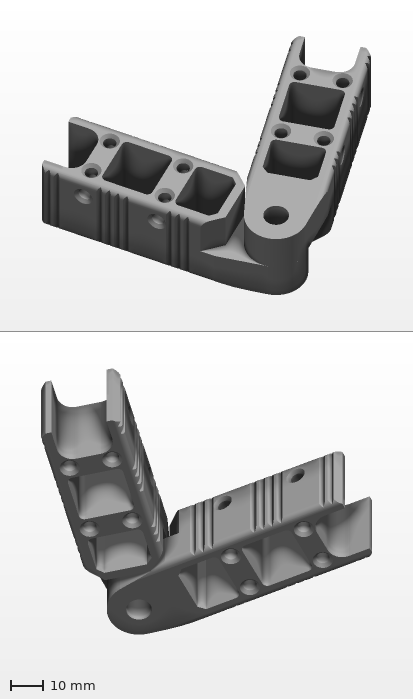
import cadquery as cq
import math


OVERALL_DEPTH = 88.6
ARM_WIDTH = 25.7
EDGE_RADIUS = 2.1
OPENING_ANGLE = 78.8

KNUCKLE_RADIUS = 10.0
PIVOT_DIAMETER = 8.0
TAPER_START = 15.1
SHOULDER = 13.9
SHOULDER_CHAMFER_LENGTH = 6.0
SHOULDER_CHAMFER_WIDTH = 5.6

WALL = 4.0
SLOT_DEPTH = 12.0
SLOT_CORNER_RADIUS = 5.0
LONG_WINDOW = (39.0, 56.0)
SHORT_WINDOW = (16.8, 31.0)
WINDOW_CORNER_RADIUS = 1.8
SHORT_WINDOW_CHAMFER = 2.0

HOLE_DIAMETER = 4.2
COUNTERSINK_DIAMETER = 6.3
HOLE_OFFSET = 6.8
HOLE_PLACES = (34.9, 59.95)

GROOVE_DEPTH = 1.1
GROOVE_PITCH = 3.0
GROOVE_GROUPS = ((3.0, 2), (20.6, 4), (44.4, 3))

HALF_WIDTH = ARM_WIDTH / 2
HALF_HEIGHT = ARM_WIDTH / 2
OPENING_WIDTH = ARM_WIDTH - 2 * WALL
TIP_HALF_WIDTH = HALF_WIDTH - EDGE_RADIUS
OPENING_RADIANS = math.radians(OPENING_ANGLE)
TIP_REACH = OVERALL_DEPTH - HALF_WIDTH
ARM_LENGTH = (TIP_REACH - TIP_HALF_WIDTH * math.cos(OPENING_RADIANS)) / math.sin(OPENING_RADIANS)
COUNTERSINK_DEPTH = (COUNTERSINK_DIAMETER - HOLE_DIAMETER) / 2


def upright_prism(outline):
    """Extrude a closed XY outline over the whole arm height."""
    return outline.extrude(ARM_WIDTH).translate((0, 0, -HALF_HEIGHT))


def plan_prism():
    """Arm seen from above: bevelled open end, straight sides, sides tangent to the round knuckle."""
    corner_distance = math.hypot(TAPER_START, HALF_WIDTH)
    tangent_angle = math.atan2(HALF_WIDTH, -TAPER_START) - math.acos(KNUCKLE_RADIUS / corner_distance)
    tangent_x = KNUCKLE_RADIUS * math.cos(tangent_angle)
    tangent_y = KNUCKLE_RADIUS * math.sin(tangent_angle)
    bevel_x = -ARM_LENGTH + EDGE_RADIUS
    outline = (
        cq.Workplane("XY")
        .moveTo(-ARM_LENGTH, -TIP_HALF_WIDTH)
        .lineTo(bevel_x, -HALF_WIDTH)
        .lineTo(-TAPER_START, -HALF_WIDTH)
        .lineTo(tangent_x, -tangent_y)
        .threePointArc((KNUCKLE_RADIUS, 0), (tangent_x, tangent_y))
        .lineTo(-TAPER_START, HALF_WIDTH)
        .lineTo(bevel_x, HALF_WIDTH)
        .lineTo(-ARM_LENGTH, TIP_HALF_WIDTH)
        .close()
    )
    return upright_prism(outline)


def rounded_bar():
    """Square bar with rounded long edges, long enough to hold the whole arm."""
    bar_length = ARM_LENGTH + KNUCKLE_RADIUS
    bar = cq.Workplane("XY").box(bar_length, ARM_WIDTH, ARM_WIDTH).edges("|X").fillet(EDGE_RADIUS)
    return bar.translate((KNUCKLE_RADIUS - bar_length / 2, 0, 0))


def knuckle_relief(side):
    """Space for the other arm's knuckle, on the upper (side = 1) or lower (side = -1) half."""
    chamfer_x = -SHOULDER - SHOULDER_CHAMFER_LENGTH
    chamfer_y = HALF_WIDTH - SHOULDER_CHAMFER_WIDTH
    return (
        cq.Workplane("XY")
        .moveTo(-SHOULDER, -chamfer_y)
        .lineTo(chamfer_x, -HALF_WIDTH)
        .lineTo(KNUCKLE_RADIUS, -HALF_WIDTH)
        .lineTo(KNUCKLE_RADIUS, HALF_WIDTH)
        .lineTo(chamfer_x, HALF_WIDTH)
        .lineTo(-SHOULDER, chamfer_y)
        .close()
        .extrude(side * HALF_HEIGHT)
    )


def opening(near, far):
    """Rectangular block through the height between two distances from the pivot."""
    block = cq.Workplane("XY").box(far - near, OPENING_WIDTH, ARM_WIDTH)
    return block.translate((-(near + far) / 2, 0, 0))


def end_slot():
    """Slot open at the free end, with rounded inner corners."""
    block = opening(ARM_LENGTH - SLOT_DEPTH, ARM_LENGTH)
    return block.edges("|Z and >X").fillet(SLOT_CORNER_RADIUS)


def long_window():
    return opening(*LONG_WINDOW).edges("|Z").fillet(WINDOW_CORNER_RADIUS)


def short_window():
    """Window with rounded far corners and bevelled corners towards the pivot."""
    block = opening(*SHORT_WINDOW).edges("|Z and <X").fillet(WINDOW_CORNER_RADIUS)
    return block.edges("|Z and >X").chamfer(SHORT_WINDOW_CHAMFER)


def screw_hole():
    """Vertical through hole on the Z axis, countersunk at both ends."""
    bore_radius = HOLE_DIAMETER / 2
    sink_radius = COUNTERSINK_DIAMETER / 2
    sink_start = HALF_HEIGHT - COUNTERSINK_DEPTH
    return (
        cq.Workplane("XZ")
        .moveTo(0, -HALF_HEIGHT)
        .lineTo(sink_radius, -HALF_HEIGHT)
        .lineTo(bore_radius, -sink_start)
        .lineTo(bore_radius, sink_start)
        .lineTo(sink_radius, HALF_HEIGHT)
        .lineTo(0, HALF_HEIGHT)
        .close()
        .revolve(360, (0, 0, 0), (0, 1, 0))
    )


def side_groove(distance, side):
    """Full-height V groove in one side face, at a distance from the pivot."""
    outline = (
        cq.Workplane("XY")
        .moveTo(-distance - GROOVE_DEPTH, side * HALF_WIDTH)
        .lineTo(-distance, side * (HALF_WIDTH - GROOVE_DEPTH))
        .lineTo(-distance + GROOVE_DEPTH, side * HALF_WIDTH)
        .close()
    )
    return upright_prism(outline)


def cut_screw_holes(body):
    """Two upright holes and one crosswise hole in each cross bar."""
    upright = screw_hole()
    crosswise = upright.rotate((0, 0, 0), (1, 0, 0), 90)
    for distance in HOLE_PLACES:
        for side in (-1, 1):
            body = body.cut(upright.translate((-distance, side * HOLE_OFFSET, 0)))
        body = body.cut(crosswise.translate((-distance, 0, HOLE_OFFSET)))
    return body


def cut_grooves(body):
    for first, count in GROOVE_GROUPS:
        for index in range(count):
            distance = ARM_LENGTH - first - index * GROOVE_PITCH
            for side in (-1, 1):
                body = body.cut(side_groove(distance, side))
    return body


def make_arm(relief_side):
    """Arm along -X, with its knuckle on the half opposite relief_side."""
    body = rounded_bar().intersect(plan_prism())
    body = body.cut(knuckle_relief(relief_side))
    body = body.cut(end_slot())
    body = body.cut(long_window())
    body = body.cut(short_window())
    body = cut_grooves(body)
    body = cut_screw_holes(body)
    pivot_hole = upright_prism(cq.Workplane("XY").circle(PIVOT_DIAMETER / 2))
    return body.cut(pivot_hole).solids()


low_knuckle_arm = make_arm(1)
high_knuckle_arm = make_arm(-1).rotate((0, 0, 0), (0, 0, 1), -OPENING_ANGLE)

result = cq.Compound.makeCompound([low_knuckle_arm.val(), high_knuckle_arm.val()])